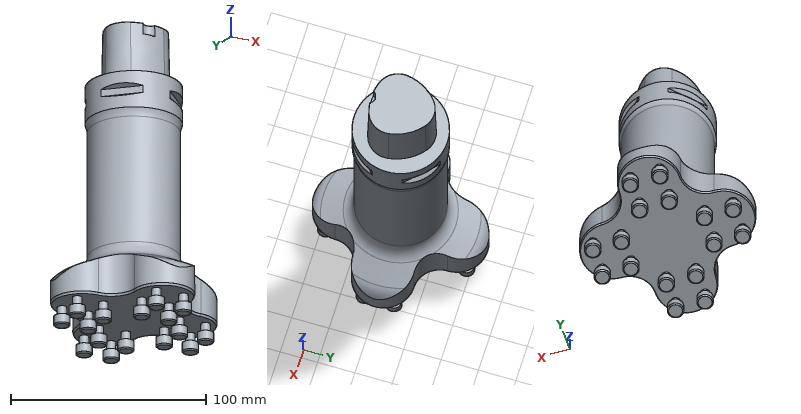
import cadquery as cq
import math

total_height = 165.3
shank_length = 30.0
flange_length = 20.0
screw_standout = 10.2
flange_top = total_height - shank_length
flange_bottom = flange_top - flange_length

flange_radius = 25.0
body_radius = 24.0
relief_radius = 11.5
blend_top = 41.7
blend_radius = 10.0
cone_fall = 0.5
cone_outer_radius = 41.2
rim_radius = 11.2

lobe_count = 4
head_width = 93.0
lobe_centre = 30.1
head_reach = head_width / 2
lobe_radius = head_reach - lobe_centre
valley_radius = lobe_centre - lobe_radius
head_chamfer_height = 1.3
head_chamfer_inset = 0.5

shank_corner_count = 3
shank_side_reach = 15.9
shank_corner_reach = 17.9
shank_side_radius = 25.6
shank_growth = 0.7
key_radius = 4.0
key_centre_y = -17.5
key_depth = 6.0

groove_height = 125.5
groove_floor_distance = 22.3
groove_floor_width = 3.8
groove_flank_angle = 30.0

screw_shaft_radius = 2.5
screw_head_radius = 4.22
screw_head_height = 5.3
screw_head_chamfer = 0.7
screw_inner = 22.3
screw_outer = 37.7
screw_offset = 8.0


def around_axis(shape, start_angle=0.0):
    """Repeat a shape once per lobe around the tool axis."""
    pattern = cq.Workplane("XY")
    for i in range(lobe_count):
        angle = start_angle + i * 360.0 / lobe_count
        pattern = pattern.add(shape.rotate((0, 0, 0), (0, 0, 1), angle))
    return pattern.combine()


def polar_point(radius, degrees):
    """Point at the given distance and angle from the axis."""
    angle = math.radians(degrees)
    return (radius * math.cos(angle), radius * math.sin(angle))


def arc_ring(plane, count, first_angle, first_reach, second_reach, seam_reach, half_spread):
    """Closed outline of two alternating arcs, each given by the distance of its middle from the axis.

    The first arc spans half_spread to both sides of first_angle; all arc ends lie at seam_reach.
    """
    pitch = 360.0 / count
    outline = plane.moveTo(*polar_point(seam_reach, first_angle - half_spread))
    for i in range(count):
        angle = first_angle + i * pitch
        outline = outline.threePointArc(
            polar_point(first_reach, angle),
            polar_point(seam_reach, angle + half_spread),
        )
        outline = outline.threePointArc(
            polar_point(second_reach, angle + pitch / 2),
            polar_point(seam_reach, angle + pitch - half_spread),
        )
    return outline.close()


def make_turned_body():
    """Flange, body and flared head turned as one profile."""
    cone_angle = math.atan(cone_fall)
    turn = math.pi / 2 - cone_angle

    blend_centre = body_radius + blend_radius

    def blend_point(angle):
        return (blend_centre - blend_radius * math.cos(angle), blend_top - blend_radius * math.sin(angle))

    blend_foot = blend_point(turn)
    cone_end_z = blend_foot[1] - cone_fall * (cone_outer_radius - blend_foot[0])

    rim_centre_r = cone_outer_radius - rim_radius * math.sin(cone_angle)
    rim_centre_z = cone_end_z - rim_radius * math.cos(cone_angle)
    rim_end = math.acos((head_reach - rim_centre_r) / rim_radius)

    def rim_point(angle):
        return (rim_centre_r + rim_radius * math.cos(angle), rim_centre_z + rim_radius * math.sin(angle))

    relief_step = flange_radius - body_radius
    relief_angle = math.acos(1 - relief_step / relief_radius)
    relief_foot_z = flange_bottom - relief_radius * math.sin(relief_angle)
    relief_middle = (
        body_radius + relief_radius * (1 - math.cos(relief_angle / 2)),
        relief_foot_z + relief_radius * math.sin(relief_angle / 2),
    )

    profile = (
        cq.Workplane("XZ")
        .moveTo(0, flange_top)
        .lineTo(flange_radius, flange_top)
        .lineTo(flange_radius, flange_bottom)
        .threePointArc(relief_middle, (body_radius, relief_foot_z))
        .lineTo(body_radius, blend_top)
        .threePointArc(blend_point(turn / 2), blend_foot)
        .lineTo(cone_outer_radius, cone_end_z)
        .threePointArc(rim_point((turn + rim_end) / 2), rim_point(rim_end))
        .lineTo(head_reach, screw_standout)
        .lineTo(0, screw_standout)
        .close()
    )
    return profile.revolve(360, (0, 0, 0), (0, 1, 0))


def make_lobed_prism():
    """Four round lobes joined by concave valleys, chamfered at the underside."""
    seam_reach = math.hypot(lobe_centre, lobe_radius)
    lobe_half_spread = math.degrees(math.atan2(lobe_radius, lobe_centre))
    valley_reach = lobe_centre * math.sqrt(2) - valley_radius

    plane = cq.Workplane("XY").workplane(offset=screw_standout)
    outline = arc_ring(plane, lobe_count, 0, head_reach, valley_reach, seam_reach, lobe_half_spread)
    prism = outline.extrude(blend_top - screw_standout)
    return prism.faces("<Z").edges().chamfer(head_chamfer_height, head_chamfer_inset)


def make_shank():
    """Tapered three-cornered shank of tangent arcs, one corner toward +Y, with a keyway."""
    side_centre = shank_side_radius - shank_side_reach
    surplus = shank_side_radius - shank_corner_reach
    corner_centre = (side_centre**2 - surplus**2) / (2 * surplus - side_centre)

    half_pitch = 180.0 / shank_corner_count
    corner_along, corner_across = polar_point(corner_centre, half_pitch)
    half_side = math.atan2(corner_across, side_centre + corner_along)
    side_angle = -90.0

    def outline(plane, growth):
        side_radius = shank_side_radius + growth
        seam_along = side_radius * math.cos(half_side) - side_centre
        seam_across = side_radius * math.sin(half_side)
        return arc_ring(
            plane,
            shank_corner_count,
            side_angle,
            shank_side_reach + growth,
            shank_corner_reach + growth,
            math.hypot(seam_along, seam_across),
            math.degrees(math.atan2(seam_across, seam_along)),
        )

    base = outline(cq.Workplane("XY").workplane(offset=flange_top), shank_growth)
    shank = outline(base.workplane(offset=shank_length), 0).loft(ruled=True)
    keyway = (
        cq.Workplane("XY")
        .workplane(offset=total_height - key_depth)
        .center(0, key_centre_y)
        .circle(key_radius)
        .extrude(key_depth)
    )
    return shank.cut(keyway)


def make_grooves():
    """Flat-floored grooves with sloping flanks, midway between the lobes."""
    depth = flange_radius - groove_floor_distance
    half_floor = groove_floor_width / 2
    half_mouth = half_floor + depth * math.tan(math.radians(groove_flank_angle))
    groove = (
        cq.Workplane("XZ")
        .polyline([
            (groove_floor_distance, groove_height - half_floor),
            (flange_radius, groove_height - half_mouth),
            (flange_radius, groove_height + half_mouth),
            (groove_floor_distance, groove_height + half_floor),
        ])
        .close()
        .extrude(flange_radius, both=True)
    )
    return around_axis(groove, 180.0 / lobe_count)


def make_screws():
    """Four cap screws under each lobe, standing out of the underside head down."""
    places = [(r, s * screw_offset) for r in (screw_inner, screw_outer) for s in (-1, 1)]
    heads = (
        cq.Workplane("XY")
        .pushPoints(places)
        .circle(screw_head_radius)
        .extrude(screw_head_height)
        .faces("<Z").edges().chamfer(screw_head_chamfer)
    )
    shafts = (
        cq.Workplane("XY")
        .workplane(offset=screw_head_height)
        .pushPoints(places)
        .circle(screw_shaft_radius)
        .extrude(screw_standout - screw_head_height)
    )
    return around_axis(heads.union(shafts))


def make_body():
    """Turned body whose head, below the blend, is trimmed to the lobed outline."""
    turned_body = make_turned_body()
    above_head = (
        cq.Workplane("XY")
        .workplane(offset=blend_top)
        .circle(head_reach)
        .extrude(total_height - blend_top)
    )
    column = turned_body.intersect(above_head)
    head = turned_body.intersect(make_lobed_prism())
    return column.union(head)


result = make_body().cut(make_grooves()).union(make_shank()).union(make_screws())